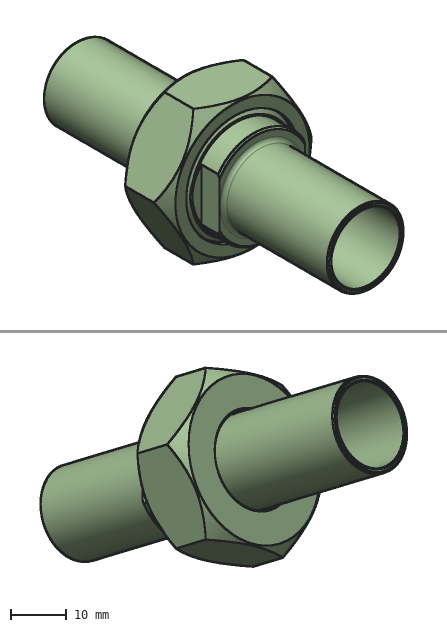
import cadquery as cq
import math


length = 79.5
tube_radius = 18 / 2
bore_radius = 16 / 2
tube_chamfer = 0.3
bore_chamfer = 0.2

nut_start = 31.5
nut_length = 13.5
nut_end = nut_start + nut_length
across_flats = 32
across_corners = across_flats / math.cos(math.pi / 6)
nut_face_radius = 31.5 / 2
nut_corner_drop = across_corners / 2 - nut_face_radius
nut_hole_radius = 18.5 / 2
nut_hole_chamfer = 0.25
nut_shoulder = 3.0

thread_radius = 26.4 / 2
thread_root_radius = 24.12 / 2
thread_chamfer = thread_radius - thread_root_radius
flange_start = nut_start + nut_shoulder
flange_thickness = 2.0
joint_x = flange_start + flange_thickness

collar_radius = 23.5 / 2
collar_end = 50.5
collar_chamfer = 0.4
neck_fillet = 0.9
wrench_width = 20
flat_start = 45.5
flat_wall_run = 0.5


def revolve_about_x(profile):
    """Turn a closed (x, radius) profile about the X axis."""
    return profile.close().revolve(360, (0, 0, 0), (1, 0, 0))


def make_tailpiece():
    """Plain tube with a retaining flange at its inner end."""
    profile = (
        cq.Workplane("XY")
        .moveTo(bore_chamfer, bore_radius)
        .lineTo(0, bore_radius + bore_chamfer)
        .lineTo(0, tube_radius - tube_chamfer)
        .lineTo(tube_chamfer, tube_radius)
        .lineTo(flange_start, tube_radius)
        .lineTo(flange_start, thread_root_radius)
        .lineTo(joint_x, thread_root_radius)
        .lineTo(joint_x, bore_radius)
    )
    return revolve_about_x(profile)


def flat_cutter(side):
    """Prism that cuts one wrench flat; its inner end wall leans towards the nut."""
    flat_y = wrench_width / 2
    overshoot = 1.0
    depth = collar_radius - flat_y
    cut_depth = depth + overshoot
    wall_run = flat_wall_run * cut_depth / depth
    cut_end = collar_end + overshoot
    return (
        cq.Workplane("XY")
        .moveTo(flat_start, side * flat_y)
        .lineTo(flat_start - wall_run, side * (flat_y + cut_depth))
        .lineTo(cut_end, side * (flat_y + cut_depth))
        .lineTo(cut_end, side * flat_y)
        .close()
        .extrude(collar_radius, both=True)
    )


def make_threaded_body():
    """Male threaded end, wrench collar and tube in one piece."""
    arc_offset = neck_fillet * (1 - math.sqrt(0.5))
    profile = (
        cq.Workplane("XY")
        .moveTo(joint_x, bore_radius)
        .lineTo(joint_x, thread_radius)
        .lineTo(nut_end - thread_chamfer, thread_radius)
        .lineTo(nut_end, thread_root_radius)
        .lineTo(nut_end, collar_radius)
        .lineTo(collar_end - collar_chamfer, collar_radius)
        .lineTo(collar_end, collar_radius - collar_chamfer)
        .lineTo(collar_end, tube_radius + neck_fillet)
        .threePointArc(
            (collar_end + arc_offset, tube_radius + arc_offset),
            (collar_end + neck_fillet, tube_radius),
        )
        .lineTo(length - tube_chamfer, tube_radius)
        .lineTo(length, tube_radius - tube_chamfer)
        .lineTo(length, bore_radius + bore_chamfer)
        .lineTo(length - bore_chamfer, bore_radius)
    )
    body = revolve_about_x(profile)
    for side in (-1, 1):
        body = body.cut(flat_cutter(side))
    return body


def make_nut():
    """Hexagon with corners on Y, both ends turned to a 45 degree cone."""
    hexagon = (
        cq.Workplane("YZ", origin=(nut_start, 0, 0))
        .polygon(6, across_corners)
        .extrude(nut_length)
    )
    turned_profile = (
        cq.Workplane("XY")
        .moveTo(nut_start + nut_hole_chamfer, nut_hole_radius)
        .lineTo(nut_start, nut_hole_radius + nut_hole_chamfer)
        .lineTo(nut_start, nut_face_radius)
        .lineTo(nut_start + nut_corner_drop, across_corners / 2)
        .lineTo(nut_end - nut_corner_drop, across_corners / 2)
        .lineTo(nut_end, nut_face_radius)
        .lineTo(nut_end, thread_radius)
        .lineTo(flange_start, thread_radius)
        .lineTo(flange_start, nut_hole_radius)
    )
    return hexagon.intersect(revolve_about_x(turned_profile))


tailpiece = make_tailpiece()
threaded_body = make_threaded_body()
nut = make_nut()

result = cq.Compound.makeCompound(
    [
        tailpiece.val(),
        *threaded_body.solids().vals(),
        *nut.solids().vals(),
    ]
)